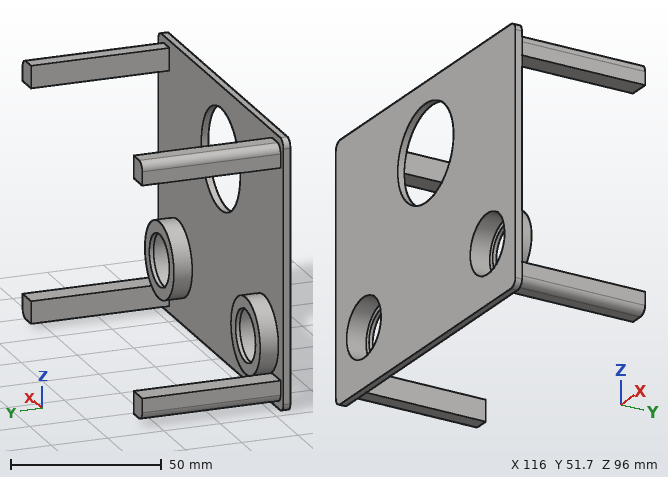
import cadquery as cq

plate_width = 116.0
plate_height = 96.0
plate_thickness = 2.5
corner_radius = 3.0
total_depth = 51.7

window_diameter = 36.0
window_height = 70.2

socket_diameter = 22.2
socket_through_diameter = 18.5
boss_diameter = 27.0
boss_length = 6.5
lip_thickness = 1.5
socket_side_inset = 18.1
socket_height = 22.0

post_size = 8.0
post_inset = 2.5
post_round = 3.0

socket_x = plate_width / 2 - socket_side_inset
boss_end = plate_thickness + boss_length


def cylinder(diameter, x, z, start, end):
    """Cylinder along Y between two Y positions."""
    length = end - start
    return cq.Workplane(cq.Solid.makeCylinder(
        diameter / 2, length, cq.Vector(x, start, z), cq.Vector(0, 1, 0)))


def post(side_x, side_z):
    """Corner post; each side is -1 or 1 and picks the corner of the plate."""
    center_x = side_x * (plate_width / 2 - post_inset - post_size / 2)
    center_z = plate_height / 2 + side_z * (plate_height / 2 - post_inset - post_size / 2)
    bar = cq.Workplane("XY").box(
        post_size, total_depth, post_size, centered=(True, False, True))
    outer_edge = cq.selectors.NearestToPointSelector(
        (side_x * post_size / 2, total_depth / 2, side_z * post_size / 2))
    return bar.edges("|Y").edges(outer_edge).fillet(post_round).translate((center_x, 0, center_z))


result = (
    cq.Workplane("XY")
    .box(plate_width, plate_thickness, plate_height, centered=(True, False, False))
    .edges("|Y")
    .fillet(corner_radius)
)

for side_x in (-1, 1):
    for side_z in (-1, 1):
        result = result.union(post(side_x, side_z))

for side_x in (-1, 1):
    x = side_x * socket_x
    result = result.union(cylinder(boss_diameter, x, socket_height, 0, boss_end))
    result = result.cut(cylinder(socket_diameter, x, socket_height, 0, boss_end - lip_thickness))
    result = result.cut(cylinder(socket_through_diameter, x, socket_height, 0, boss_end))

result = result.cut(cylinder(window_diameter, 0, window_height, 0, plate_thickness))